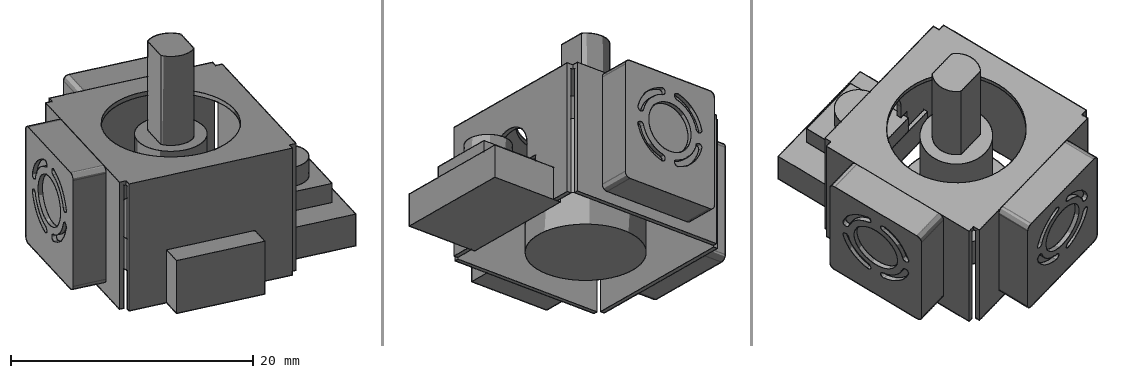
import cadquery as cq
import math

HOUSING_WIDTH = 16.0
HOUSING_HEIGHT = 12.0
SHEET = 0.4
CORNER_NOTCH = 0.6
STICK_OPENING_DIAMETER = 11.5
HALF_WIDTH = HOUSING_WIDTH / 2

DISC_DIAMETER = 10.0
DISC_THICKNESS = 3.0
COLLAR_DIAMETER = 6.0
COLLAR_TOP = 11.0
SHAFT_DIAMETER = 4.0
SHAFT_ACROSS_FLATS = 3.0
SHAFT_TOP = 19.4

POT_WIDTH = 9.5
POT_HEIGHT = 11.0
POT_DEPTH = 3.0
POT_CORNER_RADIUS = 0.5
POT_AXIS_Z = 7.19
POT_DIAL_DIAMETER = 4.5
POT_RECESS_DEPTH = 0.4
POT_SLOT_RADIUS = 3.2
POT_SLOT_WIDTH = 0.6
POT_SLOT_COUNT = 4
POT_SLOT_END_ANGLE = 14.5

CONNECTOR_DEPTH = 2.0
CONNECTOR_WIDTH = 8.0
CONNECTOR_HEIGHT = 5.0

SWITCH_X = 0.015
SWITCH_INNER_Y = 7.25
SWITCH_BASE_WIDTH = 11.2
SWITCH_BASE_OUTER_Y = 14.22
SWITCH_BASE_HEIGHT = 3.0
SWITCH_BODY_SIDE = 6.0
SWITCH_BODY_TOP = 4.8
BUTTON_DIAMETER = 4.0
BUTTON_TOP = 6.6
BUTTON_X = 0.15
BUTTON_Y = SWITCH_INNER_Y + SWITCH_BODY_SIDE / 2

BODY_OPENING_WIDTH = 6.5
BODY_OPENING_TOP = 5.1
BUTTON_OPENING_WIDTH = 4.6
BUTTON_OPENING_ARC_Z = BUTTON_TOP


def block(x_size, y_min, y_max, z_min, z_max):
    """A box centred on X = 0 between the given Y and Z limits."""
    return (
        cq.Workplane("XY", origin=(0, (y_min + y_max) / 2, z_min))
        .rect(x_size, y_max - y_min)
        .extrude(z_max - z_min)
    )


def disc(x, y, diameter, z_min, z_max):
    """An upright cylinder between two heights."""
    return cq.Workplane("XY", origin=(x, y, z_min)).circle(diameter / 2).extrude(z_max - z_min)


def switch_opening():
    """Cutter through the +Y wall: base slot, body slot and an arched button slot."""
    wall_inner = HALF_WIDTH - SHEET
    base_slot = block(SWITCH_BASE_WIDTH, wall_inner, HALF_WIDTH, 0, SWITCH_BASE_HEIGHT)
    body_slot = block(BODY_OPENING_WIDTH, wall_inner, HALF_WIDTH, 0, BODY_OPENING_TOP)
    switch_slot = base_slot.union(body_slot).translate((SWITCH_X, 0, 0))
    arch = (
        cq.Workplane("XZ", origin=(0, HALF_WIDTH, BUTTON_OPENING_ARC_Z))
        .circle(BUTTON_OPENING_WIDTH / 2)
        .extrude(SHEET)
    )
    straight = block(BUTTON_OPENING_WIDTH, wall_inner, HALF_WIDTH, 0, BUTTON_OPENING_ARC_Z)
    button_slot = straight.union(arch).translate((BUTTON_X, 0, 0))
    return switch_slot.union(button_slot)


def make_housing():
    inner_width = HOUSING_WIDTH - 2 * SHEET
    corner_spacing = HOUSING_WIDTH - CORNER_NOTCH
    shell = block(HOUSING_WIDTH, -HALF_WIDTH, HALF_WIDTH, 0, HOUSING_HEIGHT)
    cavity = block(inner_width, -inner_width / 2, inner_width / 2, 0, HOUSING_HEIGHT - SHEET)
    notches = (
        cq.Workplane("XY")
        .rect(corner_spacing, corner_spacing, forConstruction=True)
        .vertices()
        .rect(CORNER_NOTCH, CORNER_NOTCH)
        .extrude(HOUSING_HEIGHT)
    )
    stick_opening = disc(0, 0, STICK_OPENING_DIAMETER, 0, HOUSING_HEIGHT)
    return shell.cut(cavity).cut(notches).cut(stick_opening).cut(switch_opening())


def make_stick():
    shaft = disc(0, 0, SHAFT_DIAMETER, COLLAR_TOP, SHAFT_TOP).intersect(
        block(SHAFT_DIAMETER, -SHAFT_ACROSS_FLATS / 2, SHAFT_ACROSS_FLATS / 2, COLLAR_TOP, SHAFT_TOP)
    )
    collar = disc(0, 0, COLLAR_DIAMETER, DISC_THICKNESS, COLLAR_TOP)
    return disc(0, 0, DISC_DIAMETER, 0, DISC_THICKNESS).union(collar).union(shaft)


def curved_slot(face):
    """One slot along a quarter of the dial, with round ends, sunk into the pot's face."""
    start = math.radians(POT_SLOT_END_ANGLE)
    end = math.radians(90 - POT_SLOT_END_ANGLE)
    middle = (start + end) / 2
    inner = POT_SLOT_RADIUS - POT_SLOT_WIDTH / 2
    outer = POT_SLOT_RADIUS + POT_SLOT_WIDTH / 2

    def at(radius, angle):
        return (radius * math.cos(angle), radius * math.sin(angle))

    end_bulge = POT_SLOT_WIDTH / 2 / POT_SLOT_RADIUS
    return (
        face.moveTo(*at(inner, start))
        .threePointArc(at(inner, middle), at(inner, end))
        .threePointArc(at(POT_SLOT_RADIUS, end + end_bulge), at(outer, end))
        .threePointArc(at(outer, middle), at(outer, start))
        .threePointArc(at(POT_SLOT_RADIUS, start - end_bulge), at(inner, start))
        .close()
        .extrude(-POT_RECESS_DEPTH)
    )


def make_pot():
    """The pot on the -Y wall, level with the top of the housing."""
    outer_y = -HALF_WIDTH - POT_DEPTH
    pot = block(POT_WIDTH, outer_y, -HALF_WIDTH, HOUSING_HEIGHT - POT_HEIGHT, HOUSING_HEIGHT)
    pot = pot.edges("|Y").fillet(POT_CORNER_RADIUS)
    face = cq.Workplane("XZ", origin=(0, outer_y, POT_AXIS_Z))
    pot = pot.cut(face.circle(POT_DIAL_DIAMETER / 2).extrude(-POT_RECESS_DEPTH))
    slot = curved_slot(face)
    for index in range(POT_SLOT_COUNT):
        turn = index * 360 / POT_SLOT_COUNT
        pot = pot.cut(slot.rotate((0, 0, POT_AXIS_Z), (0, 1, POT_AXIS_Z), turn))
    return pot


def make_connector():
    return (
        cq.Workplane("XY", origin=(HALF_WIDTH + CONNECTOR_DEPTH / 2, 0, 0))
        .rect(CONNECTOR_DEPTH, CONNECTOR_WIDTH)
        .extrude(CONNECTOR_HEIGHT)
    )


def make_switch_base():
    base = block(SWITCH_BASE_WIDTH, SWITCH_INNER_Y, SWITCH_BASE_OUTER_Y, 0, SWITCH_BASE_HEIGHT)
    return base.translate((SWITCH_X, 0, 0))


def make_switch_body():
    outer_y = SWITCH_INNER_Y + SWITCH_BODY_SIDE
    body = block(SWITCH_BODY_SIDE, SWITCH_INNER_Y, outer_y, SWITCH_BASE_HEIGHT, SWITCH_BODY_TOP)
    return body.translate((SWITCH_X, 0, 0))


def make_button():
    return disc(BUTTON_X, BUTTON_Y, BUTTON_DIAMETER, SWITCH_BODY_TOP, BUTTON_TOP)


housing = make_housing()
stick = make_stick()
pots = []
for quarter_turns in range(2):
    pots.append(make_pot().rotate((0, 0, 0), (0, 0, 1), -90 * quarter_turns))
connector = make_connector()
switch_base = make_switch_base()
switch_body = make_switch_body()
button = make_button()

result = cq.Compound.makeCompound(
    [
        housing.val(),
        stick.val(),
        *[pot.val() for pot in pots],
        connector.val(),
        switch_base.val(),
        switch_body.val(),
        button.val(),
    ]
)